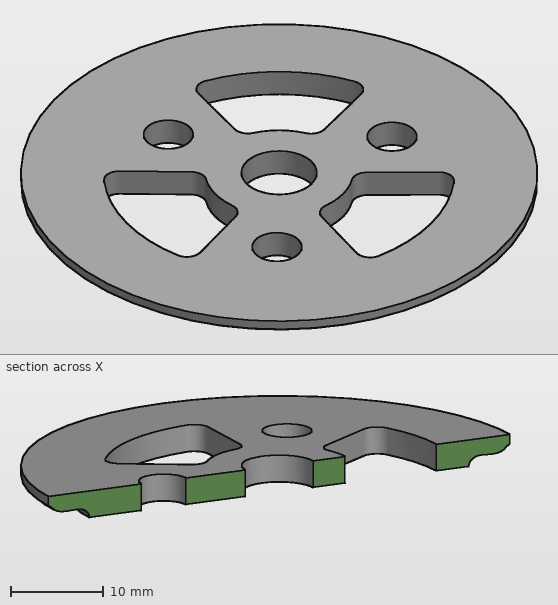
import cadquery as cq
import math

disc_radius = 28.0
disc_height = 3.0
rim_height = 1.05
bevel_width = 0.45
bevel_height = 0.35
boss_radius = 23.0

underside_points = ((23.2, 0.5), (23.75, 0.95), (25.2, 1.05), (26.7, 1.1))

bore_diameter = 8.2
bolt_hole_diameter = 5.4
bolt_circle_radius = 14.0
bolt_hole_angles = (90, 210, 330)

window_inner_radius = 8.0
window_outer_radius = 19.05
window_corner_radius = 1.7
window_sweep = 61.3
window_start_angles = (0, 120, 240)


def polar(radius, angle):
    turn = math.radians(angle)
    return (radius * math.cos(turn), radius * math.sin(turn))


def make_disc():
    """Revolve the half section; the underside lies at Z = 0."""
    rim_bottom = disc_height - rim_height
    bevel_end = (disc_radius - bevel_width, rim_bottom - bevel_height)
    return (
        cq.Workplane("XZ")
        .moveTo(0, 0)
        .lineTo(boss_radius, 0)
        .spline((*underside_points, bevel_end), includeCurrent=True)
        .lineTo(disc_radius, rim_bottom)
        .lineTo(disc_radius, disc_height)
        .lineTo(0, disc_height)
        .close()
        .revolve(360, (0, 0, 0), (0, 1, 0))
    )


def make_window(start):
    """Ring sector with rounded corners, as tall as the disc."""
    end = start + window_sweep
    middle = (start + end) / 2
    return (
        cq.Workplane("XY")
        .moveTo(*polar(window_inner_radius, start))
        .lineTo(*polar(window_outer_radius, start))
        .threePointArc(polar(window_outer_radius, middle), polar(window_outer_radius, end))
        .lineTo(*polar(window_inner_radius, end))
        .threePointArc(polar(window_inner_radius, middle), polar(window_inner_radius, start))
        .close()
        .extrude(disc_height)
        .edges("|Z")
        .fillet(window_corner_radius)
    )


def make_hole(diameter, center):
    return cq.Workplane("XY").center(*center).circle(diameter / 2).extrude(disc_height)


result = make_disc().cut(make_hole(bore_diameter, (0, 0)))

for angle in bolt_hole_angles:
    result = result.cut(make_hole(bolt_hole_diameter, polar(bolt_circle_radius, angle)))

for start in window_start_angles:
    result = result.cut(make_window(start))